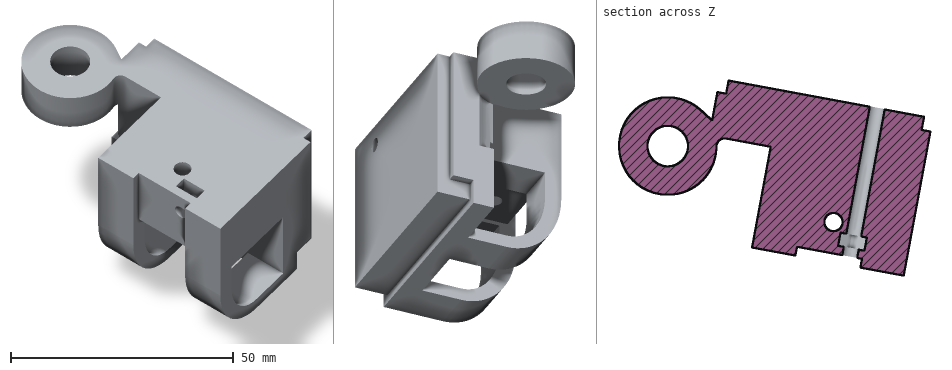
import cadquery as cq
import math

TILT = 10.5
HEIGHT = 38.5

LUG_RADIUS = 11.0
LUG_BORE_RADIUS = 4.5
LUG_THICKNESS = 9.7
CLEARANCE_RADIUS = 11.5
CLEARANCE_DEPTH = 23.0
BLEND_RADIUS = 1.75
BLEND_DEPTH = 20.0

SLAB_FRONT = 4.0
SLAB_BACK = 17.0
RIGHT_END = 57.44
LENGTH = 48.75
LEFT_END = RIGHT_END - LENGTH
REBATE_INSET = 2.0
REBATE_BACK_DEPTH = 3.0
LIP_BACK_DEPTH = 8.0
LIP_TOP = 6.0
LIP_BOTTOM = 2.0

ARM_WIDTH = 10.0
GAP_WIDTH = 14.74
HOUSING_FRONT = -19.0
HOUSING_LEFT = RIGHT_END - 2 * ARM_WIDTH - GAP_WIDTH
GAP_LEFT = HOUSING_LEFT + ARM_WIDTH
ROOF_THICKNESS = 16.45
WALL_THICKNESS = 4.0
FLOOR_THICKNESS = 3.0
OUTER_RUN = 13.4
OUTER_RISE = 15.9
INNER_RISE = 12.4
GAP_RECESS = 2.0
GAP_RECESS_HEIGHT = 15.6

PIN_U = 39.69
PIN_V = -10.0
PIN_RADIUS = 2.0
SCREW_U = 44.69
SCREW_DEPTH = 5.0
SCREW_RADIUS = 1.65
NUT_WIDTH = 5.9
NUT_FLANK_ANGLE = 30
NUT_SLOT_THICKNESS = 2.9
NUT_WALL = 2.0
NUT_TIP_WIDTH = 0.8


def block(u_min, u_max, v_min, v_max, z_min, z_max):
    """Axis-aligned box in the plan frame."""
    size = (u_max - u_min, v_max - v_min, z_max - z_min)
    return cq.Workplane("XY").box(*size, centered=False).translate((u_min, v_min, z_min))


def cylinder(radius, z_min, z_max, u=0.0, v=0.0):
    """Vertical cylinder in the plan frame."""
    return cq.Workplane("XY", origin=(u, v, z_min)).circle(radius).extrude(z_max - z_min)


def back_slab():
    """Slab with a rebate at both ends and a lip along the bottom of the back."""
    inset_left = LEFT_END + REBATE_INSET
    inset_right = RIGHT_END - REBATE_INSET
    lip_front = SLAB_BACK - LIP_BACK_DEPTH
    slab = block(LEFT_END, RIGHT_END, SLAB_FRONT, lip_front, 0, HEIGHT)
    middle = block(LEFT_END, RIGHT_END, lip_front, SLAB_BACK - REBATE_BACK_DEPTH, LIP_TOP, HEIGHT)
    back = block(inset_left, inset_right, lip_front, SLAB_BACK, LIP_BOTTOM, HEIGHT)
    return slab.union(middle).union(back)


def rounded_prism(front, bottom, top, run, rise):
    """Prism along u, back to the slab, whose lower front corner is a quarter ellipse."""
    centre_v = front + run
    centre_z = bottom + rise
    corner = (
        cq.Workplane("YZ", origin=(HOUSING_LEFT, 0, 0))
        .center(centre_v, centre_z)
        .ellipse(run, rise)
        .extrude(RIGHT_END - HOUSING_LEFT)
    )
    lower_front = block(HOUSING_LEFT, RIGHT_END, front, centre_v, bottom, centre_z)
    prism = block(HOUSING_LEFT, RIGHT_END, front, SLAB_FRONT, bottom, top)
    return prism.cut(lower_front.cut(corner))


def housing():
    """C-shaped front housing, split below its roof into two arms."""
    outer = rounded_prism(HOUSING_FRONT, 0, HEIGHT, OUTER_RUN, OUTER_RISE)
    channel = rounded_prism(
        HOUSING_FRONT + WALL_THICKNESS,
        FLOOR_THICKNESS,
        HEIGHT - ROOF_THICKNESS,
        OUTER_RUN - WALL_THICKNESS,
        INNER_RISE,
    )
    gap_right = GAP_LEFT + GAP_WIDTH
    recess_back = HOUSING_FRONT + GAP_RECESS
    gap = block(GAP_LEFT, gap_right, HOUSING_FRONT, SLAB_FRONT, 0, HEIGHT - GAP_RECESS_HEIGHT)
    recess = block(GAP_LEFT, gap_right, HOUSING_FRONT, recess_back, 0, HEIGHT)
    return outer.cut(channel).cut(gap).cut(recess)


def neck(z_min):
    """Plan web between hinge and slab: tangent line at the back, concave blend at the front."""
    corner_v = math.sqrt(CLEARANCE_RADIUS**2 - LEFT_END**2)
    tangent_angle = math.atan2(corner_v, LEFT_END) + math.acos(LUG_RADIUS / CLEARANCE_RADIUS)
    tangent_point = (LUG_RADIUS * math.cos(tangent_angle), LUG_RADIUS * math.sin(tangent_angle))

    blend_v = SLAB_FRONT - BLEND_RADIUS
    blend_reach = LUG_RADIUS + BLEND_RADIUS
    blend_u = math.sqrt(blend_reach**2 - blend_v**2)
    lug_touch = (blend_u * LUG_RADIUS / blend_reach, blend_v * LUG_RADIUS / blend_reach)
    slab_touch = (blend_u, SLAB_FRONT)
    lug_side_angle = math.atan2(blend_v, blend_u) + math.pi
    slab_side_angle = math.pi / 2
    middle_angle = (lug_side_angle + slab_side_angle) / 2
    blend_middle = (
        blend_u + BLEND_RADIUS * math.cos(middle_angle),
        blend_v + BLEND_RADIUS * math.sin(middle_angle),
    )
    return (
        cq.Workplane("XY", origin=(0, 0, z_min))
        .moveTo(0, 0)
        .lineTo(*lug_touch)
        .threePointArc(blend_middle, slab_touch)
        .lineTo(blend_u, corner_v)
        .lineTo(LEFT_END, corner_v)
        .lineTo(*tangent_point)
        .close()
        .extrude(HEIGHT - z_min)
    )


def nut_trap():
    """Slot open at the top, ending in a nut seat with sloping flanks."""
    axis_z = HEIGHT - SCREW_DEPTH
    half_width = NUT_WIDTH / 2
    half_flat = NUT_WIDTH / math.sqrt(3) / 2
    half_tip = NUT_TIP_WIDTH / 2
    tip_z = axis_z - half_flat - (half_width - half_tip) * math.tan(math.radians(NUT_FLANK_ANGLE))
    slot_front = HOUSING_FRONT + GAP_RECESS + NUT_WALL
    return (
        cq.Workplane("XZ", origin=(SCREW_U, slot_front, 0))
        .polyline([
            (-half_width, HEIGHT),
            (-half_width, axis_z - half_flat),
            (-half_tip, tip_z),
            (half_tip, tip_z),
            (half_width, axis_z - half_flat),
            (half_width, HEIGHT),
        ])
        .close()
        .extrude(-NUT_SLOT_THICKNESS)
    )


def screw_hole():
    """Horizontal hole from the front recess through to the back."""
    axis_z = HEIGHT - SCREW_DEPTH
    return (
        cq.Workplane("XZ", origin=(SCREW_U, HOUSING_FRONT, axis_z))
        .circle(SCREW_RADIUS)
        .extrude(HOUSING_FRONT - SLAB_BACK)
    )


def pin_hole():
    """Vertical hole through the housing roof."""
    return cylinder(PIN_RADIUS, HEIGHT - ROOF_THICKNESS, HEIGHT, PIN_U, PIN_V)


def add_hinge(housing_body):
    """Join the lug to the slab, clear the space below it and bore it."""
    lug_bottom = HEIGHT - LUG_THICKNESS
    clearance = cylinder(CLEARANCE_RADIUS, HEIGHT - CLEARANCE_DEPTH, lug_bottom)
    lug = cylinder(LUG_RADIUS, lug_bottom, HEIGHT)
    bore = cylinder(LUG_BORE_RADIUS, lug_bottom, HEIGHT)
    return housing_body.union(neck(HEIGHT - BLEND_DEPTH)).cut(clearance).union(lug).cut(bore)


body = add_hinge(back_slab().union(housing()))
body = body.cut(pin_hole()).cut(nut_trap()).cut(screw_hole())

result = body.rotate((0, 0, 0), (0, 0, 1), -TILT)